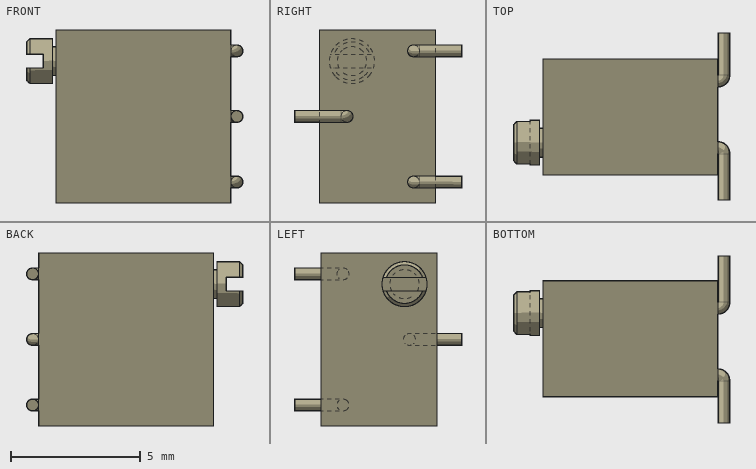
import cadquery as cq

body_length = 6.77
body_width = 4.5
body_height = 6.71

overall_length = 8.38
screw_inset_y = 1.26
screw_drop_z = 1.215
head_diameter = 1.74
head_length = 1.005
head_chamfer = 0.125
neck_diameter = 1.13
slot_width = 0.53
slot_depth = 0.645

lead_diameter = 0.46
bend_inner_radius = 0.01
lead_pitch = 2.54
lead_reach_back = 1.01
lead_reach_front = 0.96
bend_edge_back = 3.41
bend_edge_front = 1.3

screw_length = overall_length - body_length - bend_inner_radius - lead_diameter
neck_length = screw_length - head_length
lead_radius = lead_diameter / 2
bend_radius = bend_inner_radius + lead_radius
face_x = body_length / 2
side_y = body_width / 2


def make_screw():
    """Slotted screw head on a short neck, pointing toward -X."""
    screw_y = screw_inset_y - side_y
    screw_z = body_height / 2 - screw_drop_z
    plane = cq.Plane(origin=(-face_x, screw_y, screw_z), xDir=(0, 1, 0), normal=(-1, 0, 0))
    neck = cq.Workplane(plane).circle(neck_diameter / 2).extrude(neck_length)
    head = (
        cq.Workplane(plane)
        .workplane(offset=neck_length)
        .circle(head_diameter / 2)
        .extrude(head_length)
        .faces("<X")
        .chamfer(head_chamfer)
    )
    slot = (
        cq.Workplane(plane)
        .workplane(offset=screw_length - slot_depth)
        .rect(head_diameter, slot_width)
        .extrude(slot_depth)
    )
    return neck.union(head.cut(slot))


def make_lead(bend_edge_y, tip_y, z):
    """Lead that leaves the +X face in a tight quarter bend, then runs along Y to tip_y."""
    direction = 1 if tip_y > bend_edge_y else -1
    bend_start_y = bend_edge_y + direction * lead_radius
    bend_end_y = bend_start_y + direction * bend_radius
    path = (
        cq.Workplane("XY", origin=(0, 0, z))
        .moveTo(face_x, bend_start_y)
        .radiusArc((face_x + bend_radius, bend_end_y), -direction * bend_radius)
        .lineTo(face_x + bend_radius, tip_y)
    )
    section = cq.Workplane("YZ", origin=(face_x, bend_start_y, z)).circle(lead_radius)
    return section.sweep(path)


result = cq.Workplane("XY").box(body_length, body_width, body_height)
result = result.union(make_screw())

for lead_z in (-lead_pitch, lead_pitch):
    result = result.union(make_lead(bend_edge_back - side_y, side_y + lead_reach_back, lead_z))
result = result.union(make_lead(bend_edge_front - side_y, -side_y - lead_reach_front, 0))